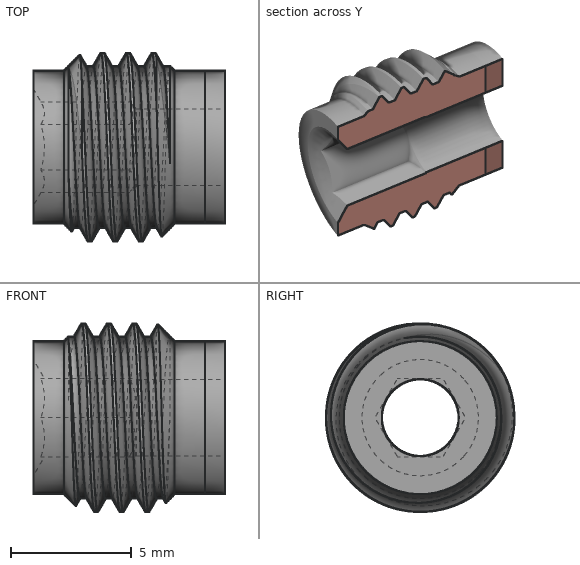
import cadquery as cq
import math

total_length = 7.94
ring_length = 0.825
body_length = total_length - ring_length
plain_radius = 3.175
bore_radius = 1.59

thread_start = 1.27
thread_end = 5.84
crest_radius = 3.9105
root_radius = 3.36
pitch = 3.175 / 3
crest_width = pitch / 8
flank_slope = math.tan(math.radians(30))
groove_start = 1.01
groove_turns = 5

hex_flats = 3.255
hex_corner_radius = hex_flats / math.sqrt(3)
hex_depth = 3.97
mouth_radius = 2.41
mouth_angle = 60.0


def make_blank():
    """Stepped round blank whose threaded section has 45 degree end chamfers."""
    chamfer = crest_radius - plain_radius
    profile = [
        (0, 0),
        (0, plain_radius),
        (thread_start, plain_radius),
        (thread_start + chamfer, crest_radius),
        (thread_end - chamfer, crest_radius),
        (thread_end, plain_radius),
        (body_length, plain_radius),
        (body_length, 0),
    ]
    return cq.Workplane("XY").polyline(profile).close().revolve(360, (0, 0, 0), (1, 0, 0))


def make_thread_groove():
    """Trapezoidal helical groove, running out past both ends of the threaded section."""
    clearance = 0.04
    outer_radius = crest_radius + clearance
    crest_opening = pitch - crest_width
    root_half = crest_opening / 2 - (crest_radius - root_radius) * flank_slope
    outer_half = crest_opening / 2 + clearance * flank_slope
    section = [
        (root_radius, -root_half),
        (outer_radius, -outer_half),
        (outer_radius, outer_half),
        (root_radius, root_half),
    ]
    helix = cq.Wire.makeHelix(pitch, pitch * groove_turns, root_radius)
    groove = cq.Workplane("XZ").polyline(section).close().sweep(cq.Workplane(helix), isFrenet=True)
    return groove.rotate((0, 0, 0), (0, 1, 0), 90).translate((groove_start, 0, 0))


def make_threaded_rod():
    """Rod at crest size, longer than the body, that holds the whole length of the groove."""
    rod = cq.Workplane("YZ", origin=(-pitch, 0, 0)).circle(crest_radius).extrude(body_length + 2 * pitch)
    return rod.cut(make_thread_groove())


def make_socket():
    """Blind hexagon, with corners toward +Y and -Y, and a 45 degree cone as its floor."""
    floor_cone_length = hex_corner_radius - bore_radius
    hexagon = cq.Workplane("YZ").polygon(6, 2 * hex_corner_radius).extrude(hex_depth + floor_cone_length)
    cone_profile = [
        (0, 0),
        (0, hex_corner_radius),
        (hex_depth, hex_corner_radius),
        (hex_depth + floor_cone_length, bore_radius),
        (hex_depth + floor_cone_length, 0),
    ]
    drill = cq.Workplane("XY").polyline(cone_profile).close().revolve(360, (0, 0, 0), (1, 0, 0))
    return hexagon.intersect(drill)


def make_mouth():
    """Countersink that leads into the socket."""
    depth = mouth_radius / math.tan(math.radians(mouth_angle))
    profile = [(0, 0), (0, mouth_radius), (depth, 0)]
    return cq.Workplane("XY").polyline(profile).close().revolve(360, (0, 0, 0), (1, 0, 0))


def make_threaded_body():
    bore = cq.Workplane("YZ").circle(bore_radius).extrude(body_length)
    body = make_threaded_rod().intersect(make_blank())
    return body.cut(bore).cut(make_socket()).cut(make_mouth())


def make_end_ring():
    """Plain ring that continues the body and its bore at the +X end."""
    ring = cq.Workplane("YZ", origin=(body_length, 0, 0)).circle(plain_radius).circle(bore_radius)
    return ring.extrude(ring_length)


threaded_body = make_threaded_body()
end_ring = make_end_ring()
result = cq.Compound.makeCompound([*threaded_body.solids().vals(), end_ring.val()])